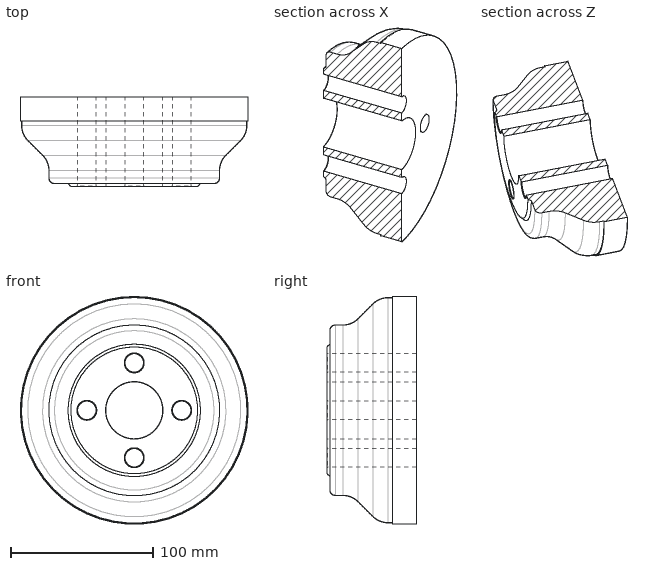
import cadquery as cq
import math

TOTAL_DEPTH = 63.0
RIM_RADIUS = 80.0
RIM_WIDTH = 17.0
BACK_Y = TOTAL_DEPTH

SHOULDER_RADIUS = 79.2
HUB_RADIUS = 60.0
BLEND_RADIUS = 15.0
CONE_ANGLE = math.radians(45)
HUB_CYLINDER_LENGTH = 5.3
HUB_FILLET = 4.0
HALF_RIGHT_ANGLE = math.pi / 4

PAD_HEIGHT = 2.0
PAD_BASE_RADIUS = 46.5
PAD_TOP_RADIUS = PAD_BASE_RADIUS - PAD_HEIGHT

BORE_DIAMETER = 40.0
BOLT_COUNT = 4
BOLT_CIRCLE_RADIUS = 33.3
BOLT_HOLE_DIAMETER = 13.0
BOLT_HOLE_CHAMFER = 0.5


def arc_point(center, radius, angle):
    """Point on an arc; the angle is measured from the outward radius towards the rear."""
    center_r, center_y = center
    return (center_r + radius * math.cos(angle), center_y + radius * math.sin(angle))


def make_body():
    """Revolve the half profile, drawn as (radius, Y), about the Y axis."""
    hub_face_y = PAD_HEIGHT
    hub_fillet_end_y = hub_face_y + HUB_FILLET
    hub_end_y = hub_fillet_end_y + HUB_CYLINDER_LENGTH
    blend_run = BLEND_RADIUS * math.sin(CONE_ANGLE)
    blend_rise = BLEND_RADIUS * (1 - math.cos(CONE_ANGLE))
    cone_rise = SHOULDER_RADIUS - HUB_RADIUS - 2 * blend_rise
    cone_run = cone_rise / math.tan(CONE_ANGLE)
    shoulder_y = hub_end_y + 2 * blend_run + cone_run
    rim_front_y = BACK_Y - RIM_WIDTH

    fillet_center = (HUB_RADIUS - HUB_FILLET, hub_fillet_end_y)
    concave_center = (HUB_RADIUS + BLEND_RADIUS, hub_end_y)
    convex_center = (SHOULDER_RADIUS - BLEND_RADIUS, shoulder_y)

    profile = (
        cq.Workplane("ZY")
        .moveTo(0, 0)
        .lineTo(PAD_TOP_RADIUS, 0)
        .lineTo(PAD_BASE_RADIUS, hub_face_y)
        .lineTo(HUB_RADIUS - HUB_FILLET, hub_face_y)
        .threePointArc(
            arc_point(fillet_center, HUB_FILLET, -HALF_RIGHT_ANGLE),
            (HUB_RADIUS, hub_fillet_end_y),
        )
        .lineTo(HUB_RADIUS, hub_end_y)
        .threePointArc(
            arc_point(concave_center, BLEND_RADIUS, math.pi - CONE_ANGLE / 2),
            arc_point(concave_center, BLEND_RADIUS, math.pi - CONE_ANGLE),
        )
        .lineTo(*arc_point(convex_center, BLEND_RADIUS, -CONE_ANGLE))
        .threePointArc(
            arc_point(convex_center, BLEND_RADIUS, -CONE_ANGLE / 2),
            (SHOULDER_RADIUS, shoulder_y),
        )
        .lineTo(SHOULDER_RADIUS, rim_front_y)
        .lineTo(RIM_RADIUS, rim_front_y)
        .lineTo(RIM_RADIUS, BACK_Y)
        .lineTo(0, BACK_Y)
        .close()
    )
    return profile.revolve(360, (0, 0, 0), (0, 1, 0))


def make_bore():
    """Central through bore."""
    return cq.Workplane("XZ").circle(BORE_DIAMETER / 2).extrude(-TOTAL_DEPTH)


def make_bolt_hole(angle):
    """Through hole on the bolt circle with a chamfered front mouth."""
    hole_radius = BOLT_HOLE_DIAMETER / 2
    mouth_radius = hole_radius + BOLT_HOLE_CHAMFER
    cutter = (
        cq.Workplane("XY")
        .moveTo(0, 0)
        .lineTo(mouth_radius, 0)
        .lineTo(hole_radius, BOLT_HOLE_CHAMFER)
        .lineTo(hole_radius, TOTAL_DEPTH)
        .lineTo(0, TOTAL_DEPTH)
        .close()
        .revolve(360, (0, 0, 0), (0, 1, 0))
    )
    return cutter.translate((BOLT_CIRCLE_RADIUS, 0, 0)).rotate((0, 0, 0), (0, 1, 0), angle)


result = make_body().cut(make_bore())
for index in range(BOLT_COUNT):
    result = result.cut(make_bolt_hole(index * 360 / BOLT_COUNT))